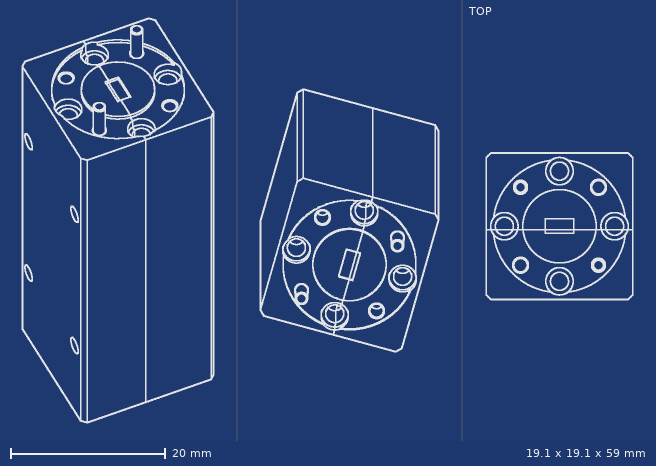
import cadquery as cq
import math


block_width = 19.05
block_length = 50.8
corner_chamfer = 0.65
half_length = block_length / 2

recess_diameter = 17.25
boss_diameter = 9.525
recess_depth = 0.5
bolt_circle_radius = 14.288 / 2
diagonal_offset = bolt_circle_radius * math.sqrt(0.5)

port_width = 3.759
port_height = port_width / 2
port_depth = 0.4

split_y = -port_height / 4

counterbore_diameter = 3.55
counterbore_depth = 1.2
screw_hole_diameter = 2.35
screw_hole_depth = 8.0
drill_point_angle = 118.0

socket_diameter = 1.75
socket_rim_chamfer = 0.15
socket_depth = 5.0

overall_length = 59.05
pin_diameter = 1.6
pin_chamfer = 0.15
pin_protrusion = (overall_length - block_length) / 2
pin_insertion = 5.0
pin_seat_rim_chamfer = 0.1

side_hole_diameter = 2.2
side_hole_depth = 6.0
side_hole_x = 7.0
side_hole_z = 12.7

recess_floor_z = half_length - recess_depth


def drilled_hole(diameter, depth):
    """Blind hole with a conical end, opening at the origin and running along -Z."""
    radius = diameter / 2
    point_length = radius / math.tan(math.radians(drill_point_angle / 2))
    profile = (
        cq.Workplane("XZ")
        .lineTo(radius, 0)
        .lineTo(radius, -depth)
        .lineTo(0, -depth - point_length)
        .close()
    )
    return profile.revolve(360, (0, 0, 0), (0, 1, 0))


def rim_cone(diameter, chamfer):
    """45 degree countersink for a hole rim, opening at the origin."""
    radius = diameter / 2
    profile = (
        cq.Workplane("XZ")
        .lineTo(radius + chamfer, 0)
        .lineTo(radius, -chamfer)
        .lineTo(0, -chamfer)
        .close()
    )
    return profile.revolve(360, (0, 0, 0), (0, 1, 0))


def cylinder_down(diameter, depth):
    """Cylinder from the origin running along -Z."""
    return cq.Workplane("XY").circle(diameter / 2).extrude(-depth)


def ring_recess():
    """Annular recess around the central boss of the top flange."""
    return (
        cq.Workplane("XY", origin=(0, 0, recess_floor_z))
        .circle(recess_diameter / 2)
        .circle(boss_diameter / 2)
        .extrude(recess_depth)
    )


def waveguide_port():
    """Shallow rectangular pocket in the top of the boss."""
    return (
        cq.Workplane("XY", origin=(0, 0, half_length))
        .rect(port_width, port_height)
        .extrude(-port_depth)
    )


def screw_hole_cutters():
    """Four counterbored screw holes on the X and Y axes."""
    counterbore = cylinder_down(counterbore_diameter, recess_depth + counterbore_depth)
    counterbore = counterbore.translate((0, 0, recess_depth))
    cutter = counterbore.union(drilled_hole(screw_hole_diameter, screw_hole_depth))
    cutter = cutter.translate((bolt_circle_radius, 0, recess_floor_z))
    return [cutter.rotate((0, 0, 0), (0, 0, 1), 90 * i) for i in range(4)]


def socket_cutters():
    """Two chamfered dowel sockets on one diagonal of the top flange."""
    cutter = drilled_hole(socket_diameter, socket_depth)
    cutter = cutter.union(rim_cone(socket_diameter, socket_rim_chamfer))
    return [
        cutter.translate((side * diagonal_offset, side * diagonal_offset, recess_floor_z))
        for side in (1, -1)
    ]


def pin_seat_cutters():
    """Two dowel pin seats on the other diagonal of the top flange."""
    cutter = cylinder_down(pin_diameter, pin_insertion)
    cutter = cutter.union(rim_cone(pin_diameter, pin_seat_rim_chamfer))
    return [
        cutter.translate((side * diagonal_offset, -side * diagonal_offset, recess_floor_z))
        for side in (1, -1)
    ]


def turn_to_bottom(shape):
    """Turn a top flange feature half a turn about Y onto the bottom flange."""
    return shape.rotate((0, 0, 0), (0, 1, 0), 180)


def side_hole_cutters():
    """Four blind holes in the front (-Y) face."""
    cutter = drilled_hole(side_hole_diameter, side_hole_depth)
    cutter = cutter.rotate((0, 0, 0), (1, 0, 0), 90)
    return [
        cutter.translate((x, -block_width / 2, z))
        for x in (-side_hole_x, side_hole_x)
        for z in (-side_hole_z, side_hole_z)
    ]


def whole_block():
    """Both halves as one block, with every recess and hole cut."""
    block = (
        cq.Workplane("XY")
        .box(block_width, block_width, block_length)
        .edges("|Z")
        .chamfer(corner_chamfer)
    )
    flange_cutters = [ring_recess(), waveguide_port()]
    flange_cutters += screw_hole_cutters() + socket_cutters() + pin_seat_cutters()
    for cutter in flange_cutters:
        block = block.cut(cutter).cut(turn_to_bottom(cutter))
    for cutter in side_hole_cutters():
        block = block.cut(cutter)
    return block


def half_envelope(y_min, y_max):
    """Box over the full block section and length between two Y planes."""
    return (
        cq.Workplane("XY")
        .box(block_width, y_max - y_min, block_length)
        .translate((0, (y_min + y_max) / 2, 0))
    )


def dowel_pin(side):
    """Top flange dowel pin, chamfered at its free end."""
    start_z = recess_floor_z - pin_insertion
    length = half_length + pin_protrusion - start_z
    return (
        cq.Workplane("XY", origin=(side * diagonal_offset, -side * diagonal_offset, start_z))
        .circle(pin_diameter / 2)
        .extrude(length)
        .faces(">Z")
        .chamfer(pin_chamfer)
    )


block = whole_block()
front_half = block.intersect(half_envelope(-block_width / 2, split_y))
back_half = block.intersect(half_envelope(split_y, block_width / 2))

pins = []
for side in (1, -1):
    pin = dowel_pin(side)
    pins += [pin.val(), turn_to_bottom(pin).val()]

result = cq.Compound.makeCompound([front_half.val(), back_half.val(), *pins])